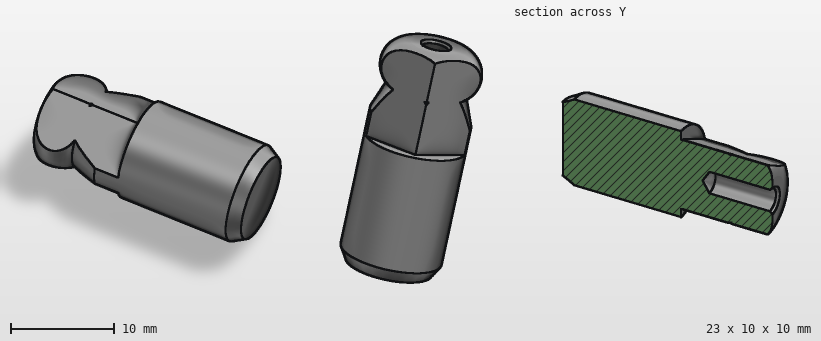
import cadquery as cq
import math

LENGTH = 23.0
BODY_DIAMETER = 10.0
BODY_RADIUS = BODY_DIAMETER / 2

BALL_RADIUS = BODY_RADIUS / 2
NOSE_RADIUS = BODY_RADIUS - BALL_RADIUS
NECK_X = 4.55
TAPER_END_X = 7.5

FLATS_LENGTH = 10.0
ACROSS_FLATS = 7.0
FLAT_TILT = 30.0

CHAMFER_LENGTH = 1.29
CHAMFER_ANGLE = 30.0

HOLE_DIAMETER = 2.44
HOLE_DEPTH = 6.9
MOUTH_DIAMETER = 3.0
DRILL_POINT_ANGLE = 118.0


def ball_height(x):
    """Radius of the turned ball end at position x."""
    return NOSE_RADIUS + math.sqrt(BALL_RADIUS**2 - (x - BALL_RADIUS) ** 2)


def revolve_about_x(profile):
    return profile.close().revolve(360, (0, 0, 0), (1, 0, 0))


def turned_body():
    chamfer_drop = CHAMFER_LENGTH * math.tan(math.radians(CHAMFER_ANGLE))
    arc_middle_x = BALL_RADIUS * (1 - math.cos(math.pi / 4))
    profile = (
        cq.Workplane("XY")
        .lineTo(0, NOSE_RADIUS)
        .threePointArc((arc_middle_x, ball_height(arc_middle_x)), (NECK_X, ball_height(NECK_X)))
        .lineTo(TAPER_END_X, BODY_RADIUS)
        .lineTo(LENGTH - CHAMFER_LENGTH, BODY_RADIUS)
        .lineTo(LENGTH, BODY_RADIUS - chamfer_drop)
        .lineTo(LENGTH, 0)
    )
    return revolve_about_x(profile)


def flats_envelope():
    """Rhombic prism over the flats, joined to the full round behind them."""
    tilt = math.radians(FLAT_TILT)
    corner_z = ACROSS_FLATS / 2 / math.cos(tilt)
    corner_y = ACROSS_FLATS / 2 / math.sin(tilt)
    rhombus = [(corner_y, 0), (0, corner_z), (-corner_y, 0), (0, -corner_z)]
    prism = cq.Workplane("YZ").polyline(rhombus).close().extrude(FLATS_LENGTH)
    rear = cq.Workplane("YZ", origin=(FLATS_LENGTH, 0, 0)).rect(BODY_DIAMETER, BODY_DIAMETER)
    return prism.union(rear.extrude(LENGTH - FLATS_LENGTH))


def nose_hole():
    hole_radius = HOLE_DIAMETER / 2
    mouth_radius = MOUTH_DIAMETER / 2
    mouth_depth = mouth_radius - hole_radius
    point_length = hole_radius / math.tan(math.radians(DRILL_POINT_ANGLE / 2))
    profile = (
        cq.Workplane("XY")
        .lineTo(0, mouth_radius)
        .lineTo(mouth_depth, hole_radius)
        .lineTo(HOLE_DEPTH, hole_radius)
        .lineTo(HOLE_DEPTH + point_length, 0)
    )
    return revolve_about_x(profile)


result = turned_body().intersect(flats_envelope()).cut(nose_hole())